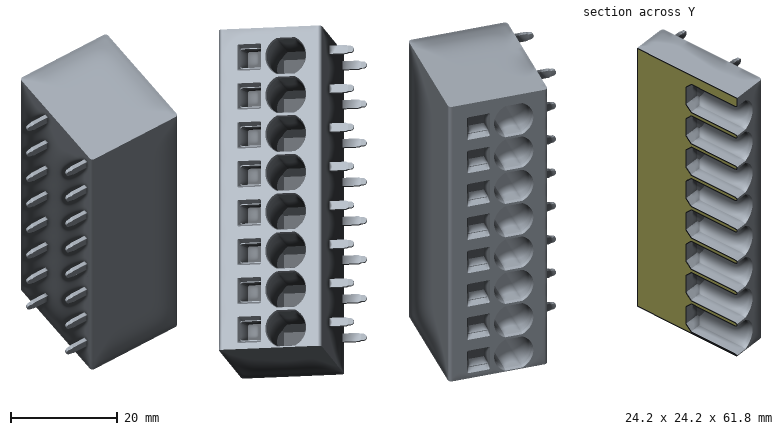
import cadquery as cq

width = 24.15
height = 61.8
overall_depth = 24.2
pin_length = 4.6
depth = overall_depth - pin_length
corner_radius = 0.7

pole_count = 8
row_length = 52.5
pitch = row_length / (pole_count - 1)
first_pin_drop = 2.7
first_opening_drop = 5.55

pin_columns = (9.1, 22.25)
pin_thickness = 0.8
pin_height = 1.6
pin_shoulder_height = 1.25
pin_tip_thickness = 0.5
pin_straight = 3.1
pin_shoulder_end = 3.5
pin_root = 0.6

wire_y = 6.8
wire_diameter = 7.4
wire_flat_height = 6.6
wire_rim_growth = 0.2
wire_rim_depth = 0.55
wire_straight_depth = 11.1
wire_depth = 12.35
wire_floor_width = 5.2
wire_floor_height = 4.1

release_y = 13.8
release_width = 4.5
release_mouth_height = 5.05
release_height = 3.65
release_lead_end_height = 3.95
release_lead_depth = 1.1
release_depth = 3.6
release_wall_shift = 1.35
release_corner = 0.25


def side_plane(x):
    """Plane facing +X whose local axes are Y and Z."""
    return cq.Workplane("YZ", origin=(x, 0, 0))


def make_housing():
    body = cq.Workplane("XY").box(width, depth, height, centered=False)
    return body.edges("|Z").fillet(corner_radius)


def make_pin():
    """Pin along -Y, starting from the front face at the origin."""
    half_height = pin_height / 2
    half_shoulder = pin_shoulder_height / 2
    side_shape = (
        side_plane(-pin_thickness / 2)
        .moveTo(pin_root, half_height)
        .lineTo(-pin_straight, half_height)
        .lineTo(-pin_shoulder_end, half_shoulder)
        .lineTo(half_shoulder - pin_length, half_shoulder)
        .threePointArc((-pin_length, 0), (half_shoulder - pin_length, -half_shoulder))
        .lineTo(-pin_shoulder_end, -half_shoulder)
        .lineTo(-pin_straight, -half_height)
        .lineTo(pin_root, -half_height)
        .close()
        .extrude(pin_thickness)
    )
    half_thickness = pin_thickness / 2
    half_tip = pin_tip_thickness / 2
    plan_shape = (
        cq.Workplane("XY", origin=(0, 0, -half_height))
        .moveTo(half_thickness, pin_root)
        .lineTo(half_thickness, -pin_shoulder_end)
        .lineTo(half_tip, -pin_length)
        .lineTo(-half_tip, -pin_length)
        .lineTo(-half_thickness, -pin_shoulder_end)
        .lineTo(-half_thickness, pin_root)
        .close()
        .extrude(pin_height)
    )
    return side_shape.intersect(plan_shape)


def make_wire_entry():
    """Cavity running +X from the origin."""
    bore = side_plane(0).circle(wire_diameter / 2).extrude(wire_depth)
    limits = side_plane(0).rect(wire_diameter, wire_flat_height).extrude(wire_straight_depth)
    taper = (
        side_plane(wire_straight_depth)
        .rect(wire_diameter, wire_flat_height)
        .workplane(offset=wire_depth - wire_straight_depth)
        .rect(wire_floor_width, wire_floor_height)
        .loft(ruled=True)
    )
    cavity = bore.intersect(limits.union(taper))

    rim_radius = wire_diameter / 2 + wire_rim_growth
    rim_height = wire_flat_height + 2 * wire_rim_growth
    cone = (
        side_plane(0)
        .circle(rim_radius)
        .workplane(offset=wire_rim_depth)
        .circle(wire_diameter / 2)
        .loft(ruled=True)
    )
    wedge = (
        side_plane(0)
        .rect(2 * rim_radius, rim_height)
        .workplane(offset=wire_rim_depth)
        .rect(2 * rim_radius, wire_flat_height)
        .loft(ruled=True)
    )
    return cavity.union(cone.intersect(wedge))


def make_release_opening():
    """Cavity running +X from the origin."""
    half_width = release_width / 2
    plan_shape = (
        cq.Workplane("XY", origin=(0, 0, -release_mouth_height / 2))
        .moveTo(0, -half_width)
        .lineTo(release_depth, -half_width)
        .lineTo(release_depth, half_width - release_wall_shift)
        .lineTo(0, half_width)
        .close()
        .extrude(release_mouth_height)
    )
    passage = side_plane(0).rect(release_width, release_height).extrude(release_depth)
    passage = passage.intersect(plan_shape)
    passage = passage.edges("not (|X or |Y or |Z)").chamfer(release_corner)
    lead_in = (
        side_plane(0)
        .rect(release_width, release_mouth_height)
        .workplane(offset=release_lead_depth)
        .rect(release_width, release_lead_end_height)
        .loft(ruled=True)
        .intersect(plan_shape)
        .edges("not (|Y or |Z)")
        .edges("not #Z")
        .fillet(release_corner)
    )
    return passage.union(lead_in)


pin = make_pin()
wire_entry = make_wire_entry()
release_opening = make_release_opening()

result = make_housing()
for pole in range(pole_count):
    pin_z = height - first_pin_drop - pole * pitch
    for pin_x in pin_columns:
        result = result.union(pin.translate((pin_x, 0, pin_z)))
    opening_z = height - first_opening_drop - pole * pitch
    result = result.cut(wire_entry.translate((0, wire_y, opening_z)))
    result = result.cut(release_opening.translate((0, release_y, opening_z)))